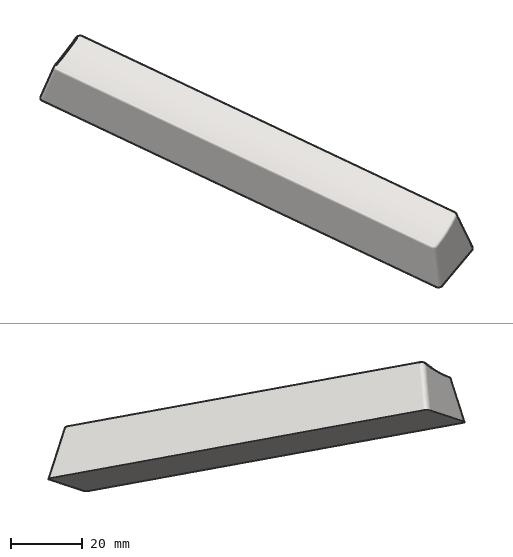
import cadquery as cq
import math

length = 132.6
width = 18.3

end_draft = 13.6
side_draft = 11.0

front_height = 12.9
back_height = 15.375
scoop_radius = 30.0

corner_radius = 1.3
rim_radius = 0.6

scoop_allowance = 2.0
block_height = back_height + scoop_allowance


def inset(draft, height):
    """Horizontal distance a wall has moved inward at the given height."""
    return height * math.tan(math.radians(draft))


def tapered_block():
    """Four-sided block with leaning walls and rounded corner edges."""
    top_length = length - 2 * inset(end_draft, block_height)
    top_width = width - 2 * inset(side_draft, block_height)
    block = (
        cq.Workplane("XY")
        .rect(length, width)
        .workplane(offset=block_height)
        .rect(top_length, top_width)
        .loft(ruled=True)
    )
    sloping_corners = block.edges("not(#Z)")
    return sloping_corners.fillet(corner_radius)


def scoop_cutter():
    """Cylinder along X whose underside passes through the front and back edges."""
    front_y = -width / 2 + inset(side_draft, front_height)
    back_y = width / 2 - inset(side_draft, back_height)
    chord_y = back_y - front_y
    chord_z = back_height - front_height
    chord = math.hypot(chord_y, chord_z)
    axis_distance = math.sqrt(scoop_radius**2 - (chord / 2) ** 2)
    axis_y = (front_y + back_y) / 2 - axis_distance * chord_z / chord
    axis_z = (front_height + back_height) / 2 + axis_distance * chord_y / chord
    return (
        cq.Workplane("YZ")
        .center(axis_y, axis_z)
        .circle(scoop_radius)
        .extrude(length / 2, both=True)
    )


def round_rim(body):
    """Round the edge loop around the dished top."""
    dished_face = body.faces("%CYLINDER").faces(cq.selectors.AreaNthSelector(-1))
    return dished_face.edges().fillet(rim_radius)


body = tapered_block().cut(scoop_cutter())
result = round_rim(body)